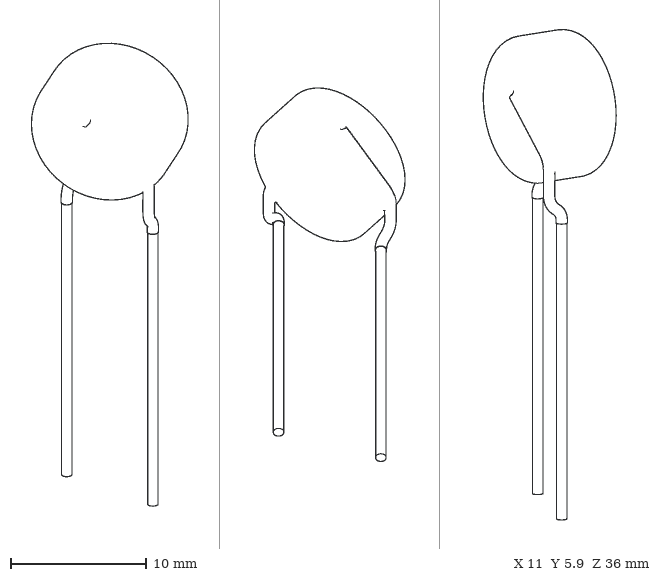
import cadquery as cq
import math

disc_diameter = 11.0
disc_thickness = 5.47
disc_rim_radius = 1.0

coated_diameter = 0.85
wire_diameter = 0.8
lead_x = 3.75
overall_depth = 5.9
overall_height = 36
upper_offset = (overall_depth - coated_diameter) / 2
lower_offset = 1.4
lead_bottom = disc_diameter / 2 - overall_height
coating_bottom = -7.92

offset_bend_top = -5.72
offset_bend_bottom = -7.7
outer_bend_radius = 1.3

slant_from_vertical = math.radians(49)
slant_bend_radius = 1.73
slant_bend_bottom = -3.8
slant_end_x = -0.85

blend_radius = 0.18


def make_disc():
    front_plane = cq.Workplane("XZ", origin=(0, disc_thickness / 2, 0))
    disc = front_plane.circle(disc_diameter / 2).extrude(disc_thickness)
    return disc.edges().fillet(disc_rim_radius)


def coated_path():
    """Centre line of the coated part of the front lead, from bottom to top."""
    shift = upper_offset - lower_offset
    bend_height = offset_bend_top - offset_bend_bottom
    bend_angle = 2 * math.atan2(shift, bend_height)
    inner_bend_radius = bend_height / math.sin(bend_angle) - outer_bend_radius

    def inner_bend(angle):
        y = -lower_offset - inner_bend_radius * (1 - math.cos(angle))
        return cq.Vector(lead_x, y, offset_bend_bottom + inner_bend_radius * math.sin(angle))

    def outer_bend(angle):
        y = -upper_offset + outer_bend_radius * (1 - math.cos(angle))
        return cq.Vector(lead_x, y, offset_bend_top - outer_bend_radius * math.sin(angle))

    def slant_bend(angle):
        x = lead_x - slant_bend_radius * (1 - math.cos(angle))
        return cq.Vector(x, -upper_offset, slant_bend_bottom + slant_bend_radius * math.sin(angle))

    slant_start = slant_bend(slant_from_vertical)
    slant_rise = (slant_start.x - slant_end_x) / math.tan(slant_from_vertical)
    slant_end = cq.Vector(slant_end_x, -upper_offset, slant_start.z + slant_rise)

    edges = [
        cq.Edge.makeLine(cq.Vector(lead_x, -lower_offset, coating_bottom), inner_bend(0)),
        cq.Edge.makeThreePointArc(inner_bend(0), inner_bend(bend_angle / 2), inner_bend(bend_angle)),
        cq.Edge.makeThreePointArc(outer_bend(bend_angle), outer_bend(bend_angle / 2), outer_bend(0)),
        cq.Edge.makeLine(outer_bend(0), slant_bend(0)),
        cq.Edge.makeThreePointArc(slant_bend(0), slant_bend(slant_from_vertical / 2), slant_start),
        cq.Edge.makeLine(slant_start, slant_end),
    ]
    return cq.Wire.assembleEdges(edges)


def make_lead():
    base = cq.Workplane("XY", origin=(lead_x, -lower_offset, coating_bottom))
    coated = base.circle(coated_diameter / 2).sweep(coated_path())
    wire = base.circle(wire_diameter / 2).extrude(lead_bottom - coating_bottom)
    return coated.union(wire)


def add_front_lead(part):
    """Join a lead to the front face and round the seam around it."""
    joined = part.union(make_lead())
    front_face = joined.faces("|Y").faces("<Y")
    return front_face.edges("%LINE").fillet(blend_radius)


def half_turn(part):
    return part.rotate((0, 0, 0), (0, 0, 1), 180)


one_lead = add_front_lead(make_disc())
result = add_front_lead(half_turn(one_lead))